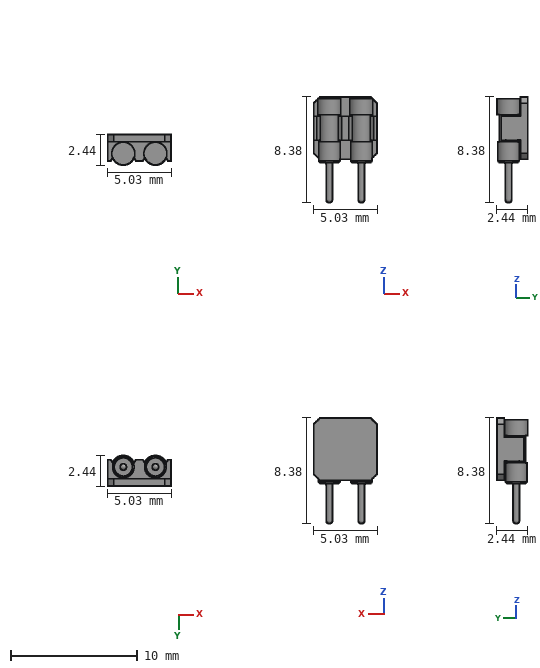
import cadquery as cq
import math


pin_pitch = 2.54
pin_count = 2
housing_width = 5.03
plate_top = 8.38
plate_bottom = 3.43
plate_corner_chamfer = 0.5
plate_back_y = 1.525
plate_thickness = 0.59
plate_front_y = plate_back_y - plate_thickness
block_front_y = -0.58
block_top = 6.86
block_bottom = 4.96

scoop_radius = 1.11
scoop_center_y = -1.07

head_radius = 0.91
neck_radius = 0.75
barrel_radius = 0.855
lead_radius = 0.26

head_top = 8.25
head_bottom = 6.97
barrel_top = 4.82
barrel_bottom = 3.18
barrel_chamfer = 0.13
lead_root_fillet = 0.1

pin_positions = [(i - (pin_count - 1) / 2) * pin_pitch for i in range(pin_count)]


def cylinder(radius, x, y, bottom, top):
    """Upright cylinder at (x, y) between two levels."""
    return cq.Workplane("XY", origin=(x, y, bottom)).circle(radius).extrude(top - bottom)


def make_housing():
    plate_height = plate_top - plate_bottom
    plate = (
        cq.Workplane("XY")
        .box(housing_width, plate_thickness, plate_height, centered=(True, False, False))
        .edges("|Y")
        .chamfer(plate_corner_chamfer)
        .translate((0, plate_front_y, plate_bottom))
    )
    block_depth = plate_front_y - block_front_y
    block_height = block_top - block_bottom
    block = (
        cq.Workplane("XY")
        .box(housing_width, block_depth, block_height, centered=(True, False, False))
        .translate((0, block_front_y, block_bottom))
    )
    for x in pin_positions:
        block = block.cut(cylinder(neck_radius, x, 0, block_bottom, block_top))
        block = block.cut(cylinder(scoop_radius, x, scoop_center_y, block_bottom, block_top))
    return plate.union(block).solids()


def make_pin(x):
    """Turned pin: half profile revolved about its own Z axis, then moved to x."""
    arc_offset = math.sqrt(0.5)
    fillet_center_r = lead_radius + lead_root_fillet
    fillet_center_z = barrel_bottom - lead_root_fillet
    fillet_middle = (
        fillet_center_r - lead_root_fillet * arc_offset,
        fillet_center_z + lead_root_fillet * arc_offset,
    )
    tip_middle = (lead_radius * arc_offset, lead_radius * (1 - arc_offset))
    profile = (
        cq.Workplane("XZ")
        .moveTo(0, head_top)
        .lineTo(head_radius, head_top)
        .lineTo(head_radius, head_bottom)
        .lineTo(neck_radius, head_bottom)
        .lineTo(neck_radius, barrel_top)
        .lineTo(barrel_radius, barrel_top)
        .lineTo(barrel_radius, barrel_bottom + barrel_chamfer)
        .lineTo(barrel_radius - barrel_chamfer, barrel_bottom)
        .lineTo(fillet_center_r, barrel_bottom)
        .threePointArc(fillet_middle, (lead_radius, fillet_center_z))
        .lineTo(lead_radius, lead_radius)
        .threePointArc(tip_middle, (0, 0))
        .close()
    )
    return profile.revolve(360, (0, 0, 0), (0, 1, 0)).translate((x, 0, 0))


housing = make_housing()
pins = [make_pin(x) for x in pin_positions]

result = cq.Compound.makeCompound([housing.val(), *[pin.val() for pin in pins]])